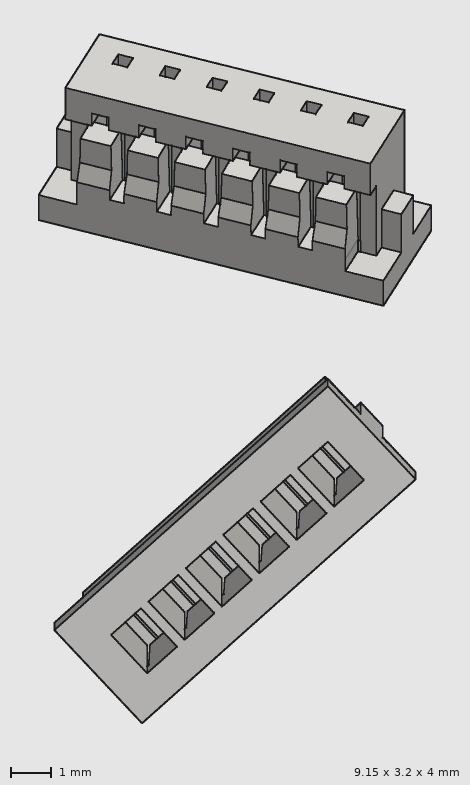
import cadquery as cq


base_length = 9.15
base_depth = 3.2
base_height = 0.8

body_length = 8.1
body_front = 0.85
body_back = 2.74
body_top = 4.0

overhang_front = 0.46
overhang_bottom = 3.0

tab_front = 1.2
tab_depth = 0.805
tab_top = 2.0

contact_count = 6
row_span = 6.25
pitch = row_span / (contact_count - 1)
contact_xs = [i * pitch - row_span / 2 for i in range(contact_count)]

cavity_width = 1.0
hole_size = 0.39
hole_front = 1.775
cavity_back = hole_front + hole_size
notch_width = 0.45
notch_top = 3.395

sill_top = 1.2
finger_root_width = 0.88
finger_tip_width = 0.805
toe_top = 1.5
knee_height = 2.0
knee_setback = 0.165
finger_front_top = 2.76
finger_back_top = 2.8
sill_length = row_span + finger_root_width


def block(center_x, length, y_range, z_range):
    """Axis-aligned box centred on center_x along X."""
    depth = y_range[1] - y_range[0]
    height = z_range[1] - z_range[0]
    box = cq.Workplane("XY").box(length, depth, height, centered=(True, False, False))
    return box.translate((center_x, y_range[0], z_range[0]))


def make_shell():
    """Base plate, body, overhang, end tabs and sill."""
    base = block(0, base_length, (0, base_depth), (0, base_height))
    body = block(0, body_length, (body_front, body_back), (0, body_top))
    overhang = block(0, body_length, (overhang_front, body_back), (overhang_bottom, body_top))
    tabs = block(0, base_length, (tab_front, tab_front + tab_depth), (0, tab_top))
    sill = block(0, sill_length, (0, body_front), (0, sill_top))
    return base.union(body).union(overhang).union(tabs).union(sill)


def make_cavity(center_x):
    """Material removed for one contact: cavity open below, notch and pin hole."""
    cavity = block(center_x, cavity_width, (body_front, cavity_back), (0, overhang_bottom))
    notch = block(center_x, notch_width, (overhang_front, cavity_back), (overhang_bottom, notch_top))
    hole = block(center_x, hole_size, (hole_front, cavity_back), (0, body_top))
    return cavity.union(notch).union(hole)


def make_finger(center_x):
    """Latch finger: side profile trimmed to a front outline that narrows upwards."""
    side = (
        cq.Workplane("YZ")
        .polyline([
            (0, sill_top),
            (0, toe_top),
            (knee_setback, knee_height),
            (knee_setback, finger_front_top),
            (body_front, finger_back_top),
            (body_front, sill_top),
        ])
        .close()
        .extrude(finger_root_width / 2, both=True)
    )
    outline = (
        cq.Workplane("XZ")
        .polyline([
            (-finger_root_width / 2, sill_top),
            (finger_root_width / 2, sill_top),
            (finger_tip_width / 2, finger_back_top),
            (-finger_tip_width / 2, finger_back_top),
        ])
        .close()
        .extrude(-body_front)
    )
    return side.intersect(outline).translate((center_x, 0, 0))


result = make_shell()
for x in contact_xs:
    result = result.cut(make_cavity(x)).union(make_finger(x))